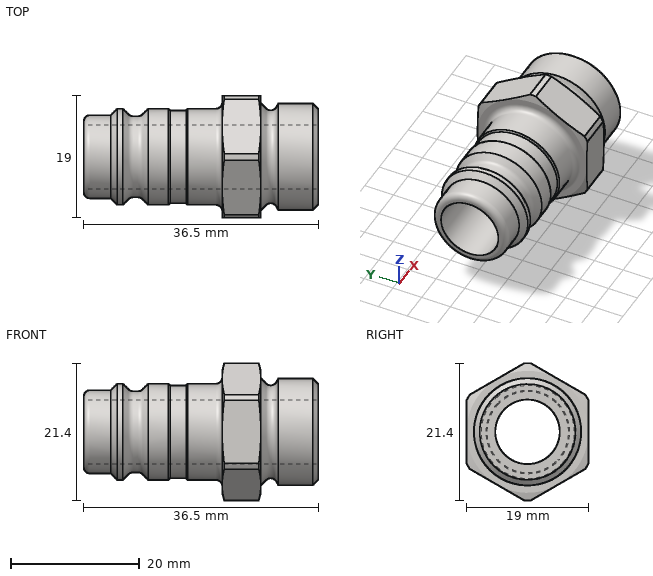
import cadquery as cq
import math


total_length = 36.5
bore_radius = 10.0 / 2

tip_radius = 13.0 / 2
body_radius = 15.0 / 2
neck_radius = 12.65 / 2
marking_radius = 14.5 / 2
blend_radius = 1.0

collar_end = 6.1
collar_width = 0.88
shoulder_start = 10.05
marking_start = 13.18
marking_end = 16.17

hex_sides = 6
hex_across_flats = 19.0
hex_corner_diameter = 21.4
hex_length = 6.02
hex_chamfer_diameter = 18.98
hex_chamfer_angle = math.radians(15)

end_length = 8.95
end_radius = 16.65 / 2
end_chamfer = 0.88
undercut_radius = 14.5 / 2
undercut_cone_length = 0.85
undercut_flank_angle = math.radians(60)

hex_end = total_length - end_length
hex_start = hex_end - hex_length
half_diagonal = math.sqrt(0.5)
half_flank_angle = math.radians(45 / 2)


def add_neck(profile):
    """Groove between collar and shoulder: 45 degree flanks rounded into a cylindrical floor."""
    depth = body_radius - neck_radius
    tangent = blend_radius * math.tan(half_flank_angle)
    mid_run = blend_radius * math.sin(half_flank_angle)
    mid_rise = blend_radius * (1 - math.cos(half_flank_angle))
    flank_run = blend_radius * half_diagonal
    flank_rise = blend_radius * (1 - half_diagonal)
    floor_start = collar_end + depth + tangent
    floor_end = shoulder_start - depth - tangent
    return (
        profile
        .lineTo(floor_start - flank_run, neck_radius + flank_rise)
        .threePointArc((floor_start - mid_run, neck_radius + mid_rise), (floor_start, neck_radius))
        .lineTo(floor_end, neck_radius)
        .threePointArc(
            (floor_end + mid_run, neck_radius + mid_rise),
            (floor_end + flank_run, neck_radius + flank_rise),
        )
        .lineTo(shoulder_start, body_radius)
    )


def add_marking_band(profile):
    """Shallow recessed band with 45 degree sides."""
    depth = body_radius - marking_radius
    return (
        profile
        .lineTo(marking_start, body_radius)
        .lineTo(marking_start + depth, marking_radius)
        .lineTo(marking_end - depth, marking_radius)
        .lineTo(marking_end, body_radius)
    )


def add_undercut(profile):
    """Rounded groove between a 45 degree cone at the hexagon and a steep flank at the end collar."""
    arc_start = hex_end + undercut_cone_length
    arc_start_radius = undercut_radius + blend_radius * (1 - half_diagonal)
    bottom = arc_start + blend_radius * half_diagonal
    arc_end = bottom + blend_radius * math.sin(undercut_flank_angle)
    arc_end_radius = undercut_radius + blend_radius * (1 - math.cos(undercut_flank_angle))
    collar_start = arc_end + (end_radius - arc_end_radius) / math.tan(undercut_flank_angle)
    return (
        profile
        .lineTo(hex_end, arc_start_radius + undercut_cone_length)
        .lineTo(arc_start, arc_start_radius)
        .threePointArc((bottom, undercut_radius), (arc_end, arc_end_radius))
        .lineTo(collar_start, end_radius)
    )


def make_turned_body():
    """Outer turned shape, revolved about X; the hexagon is added separately."""
    collar_start = collar_end - collar_width
    profile = (
        cq.Workplane("XY")
        .moveTo(0, 0)
        .lineTo(0, tip_radius - blend_radius)
        .threePointArc(
            (blend_radius * (1 - half_diagonal), tip_radius - blend_radius * (1 - half_diagonal)),
            (blend_radius, tip_radius),
        )
        .lineTo(collar_start - (body_radius - tip_radius), tip_radius)
        .lineTo(collar_start, body_radius)
        .lineTo(collar_end, body_radius)
    )
    profile = add_neck(profile)
    profile = add_marking_band(profile)
    profile = (
        profile
        .lineTo(hex_start - blend_radius, body_radius)
        .threePointArc(
            (
                hex_start - blend_radius * (1 - half_diagonal),
                body_radius + blend_radius * (1 - half_diagonal),
            ),
            (hex_start, body_radius + blend_radius),
        )
    )
    profile = add_undercut(profile)
    return (
        profile
        .lineTo(total_length - end_chamfer, end_radius)
        .lineTo(total_length, end_radius - end_chamfer)
        .lineTo(total_length, 0)
        .close()
        .revolve(360, (0, 0, 0), (1, 0, 0))
    )


def make_hexagon():
    """Hexagon with corners on +Z and -Z, turned down at the corners and chamfered on both faces."""
    corner_radius = hex_corner_diameter / 2
    chamfer_radius = hex_chamfer_diameter / 2
    chamfer_length = (corner_radius - chamfer_radius) * math.tan(hex_chamfer_angle)
    across_corners = hex_across_flats / math.cos(math.pi / hex_sides)
    prism = (
        cq.Workplane("YZ")
        .workplane(offset=hex_start)
        .transformed(rotate=(0, 0, 90))
        .polygon(hex_sides, across_corners)
        .extrude(hex_length)
    )
    turned_blank = (
        cq.Workplane("XY")
        .moveTo(hex_start, 0)
        .lineTo(hex_start, chamfer_radius)
        .lineTo(hex_start + chamfer_length, corner_radius)
        .lineTo(hex_end - chamfer_length, corner_radius)
        .lineTo(hex_end, chamfer_radius)
        .lineTo(hex_end, 0)
        .close()
        .revolve(360, (0, 0, 0), (1, 0, 0))
    )
    return prism.intersect(turned_blank)


bore = cq.Workplane("YZ").circle(bore_radius).extrude(total_length)

result = make_turned_body().union(make_hexagon()).cut(bore)